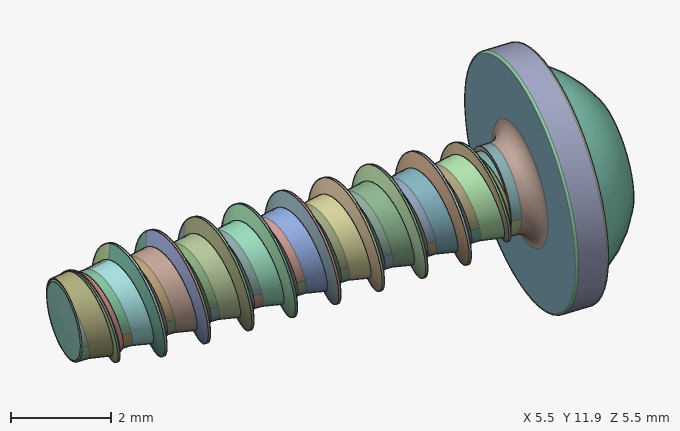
import cadquery as cq
import math


flange_diameter = 5.5
flange_thickness = 0.72
flange_edge_radius = 0.05
head_height = 1.9
dome_base_radius = 2.36
dome_top_radius = 1.315

shank_length = 10.0
neck_radius = 0.955
neck_fillet_radius = 0.4
neck_length = 0.62
core_radius = 0.86
tip_rim_radius = 0.82
tip_cone_height = 0.02
tip_chamfer_height = 0.02
core_length = shank_length - tip_cone_height - tip_chamfer_height

pitch = 0.95
crest_radius = 1.25
crest_half_width = 0.025
foot_radius = 0.94
least_ridge_height = 0.02
foot_half_width = 0.14
flare_half_width = 0.21
core_taper_length = 0.645
crest_depth_at_x = 0.72
fade_in_start = -0.115
fade_in_end = 1.38
fade_out_start = 8.64
fade_out_end = 9.95
embed = 0.015
ribbon_edge_radius = core_radius - embed
ribbon_root_radius = 0.7
points_per_turn = 20


def make_head():
    """Dome on a flat flange, revolved about Y."""
    flange_radius = flange_diameter / 2
    dome_height = head_height - flange_thickness
    centre_drop = (dome_base_radius**2 - dome_top_radius**2 - dome_height**2) / (2 * dome_height)
    dome_radius = math.hypot(dome_base_radius, centre_drop)
    mid_height = dome_height / 2
    mid_radius = math.sqrt(dome_radius**2 - (centre_drop + mid_height) ** 2)

    flange = (
        cq.Workplane("XZ")
        .circle(flange_radius)
        .extrude(-flange_thickness)
        .edges()
        .fillet(flange_edge_radius)
    )
    dome = (
        cq.Workplane("XY")
        .moveTo(0, flange_thickness)
        .lineTo(dome_base_radius, flange_thickness)
        .threePointArc((mid_radius, flange_thickness + mid_height), (dome_top_radius, head_height))
        .lineTo(0, head_height)
        .close()
        .revolve(360, (0, 0), (0, 1))
    )
    return flange.union(dome)


def make_shank():
    """Filleted neck and straight core, revolved about Y, with a chamfered, very flat conical tip."""
    fillet_outer = neck_radius + neck_fillet_radius
    diagonal = neck_fillet_radius * math.sqrt(0.5)
    return (
        cq.Workplane("XY")
        .lineTo(fillet_outer, 0)
        .threePointArc(
            (fillet_outer - diagonal, diagonal - neck_fillet_radius),
            (neck_radius, -neck_fillet_radius),
        )
        .lineTo(neck_radius, -neck_length)
        .lineTo(core_radius, -neck_length)
        .lineTo(core_radius, -core_length)
        .lineTo(tip_rim_radius, tip_cone_height - shank_length)
        .lineTo(0, -shank_length)
        .close()
        .revolve(360, (0, 0), (0, 1))
    )


def faded_crest_radius(depth):
    """Crest radius at a distance below the bearing face, rising in and running out."""
    fade_in = (depth - fade_in_start) / (fade_in_end - fade_in_start)
    fade_out = (fade_out_end - depth) / (fade_out_end - fade_out_start)
    fraction = max(0, min(1, fade_in, fade_out))
    return ribbon_edge_radius + fraction * (crest_radius - ribbon_edge_radius)


def thread_section(depth):
    """Ribbon section around a crest: (offset towards the head, radius) pairs."""
    crest = faded_crest_radius(depth)
    foot = min(foot_radius, crest - least_ridge_height)
    height_fraction = (crest - foot) / (crest_radius - foot_radius)
    half_width = crest_half_width + height_fraction * (foot_half_width - crest_half_width)
    return [
        (flare_half_width, ribbon_root_radius),
        (flare_half_width, ribbon_edge_radius),
        (half_width, foot),
        (crest_half_width, crest),
        (-crest_half_width, crest),
        (-half_width, foot),
        (-core_taper_length, ribbon_edge_radius),
        (-core_taper_length, ribbon_root_radius),
    ]


def section_points(depth):
    """Points of the ribbon section where the crest is at the given depth."""
    angle = 2 * math.pi * (depth - crest_depth_at_x) / pitch
    return [
        cq.Vector(radius * math.cos(angle), offset - depth, radius * math.sin(angle))
        for offset, radius in thread_section(depth)
    ]


def make_ribbon(start, end):
    """Helical ribbon between two crest depths, with ruled sides between its corner curves."""
    steps = math.ceil((end - start) / pitch * points_per_turn)
    sections = [section_points(start + (end - start) * i / steps) for i in range(steps + 1)]
    rails = [cq.Edge.makeSpline(list(points)) for points in zip(*sections)]
    faces = [
        cq.Face.makeRuledSurface(rail, next_rail)
        for rail, next_rail in zip(rails, rails[1:] + rails[:1])
    ]
    for points in (sections[0], sections[-1]):
        faces.append(cq.Face.makeFromWires(cq.Wire.makePolygon(points, close=True)))
    return cq.Solid.makeSolid(cq.Shell.makeShell(faces))


def make_thread():
    """Rising stretch, full stretches of about a turn each and fading stretch, trimmed at the tip."""
    full_length = fade_out_start - fade_in_end
    turns = round(full_length / pitch)
    stretch_ends = [fade_in_start]
    stretch_ends += [fade_in_end + full_length * i / turns for i in range(turns + 1)]
    stretch_ends.append(fade_out_end)
    ribbons = [make_ribbon(start, end) for start, end in zip(stretch_ends, stretch_ends[1:])]
    thread = ribbons[0].fuse(*ribbons[1:])
    trim = cq.Workplane("XZ").circle(flange_diameter).extrude(core_length)
    return trim.intersect(cq.Workplane(thread))


result = make_head().union(make_shank()).union(make_thread())